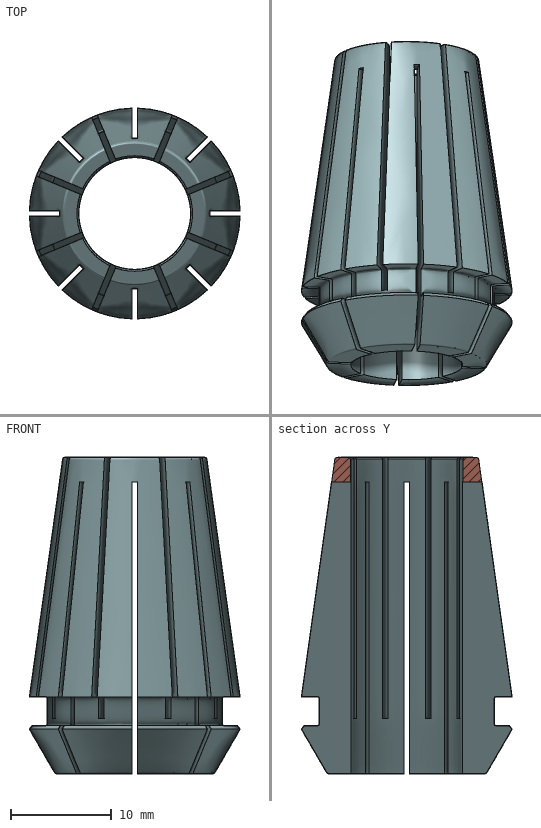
import cadquery as cq

height = 31.5
max_radius = 10.5
bore_radius = 11.12 / 2
bore_chamfer = 0.2

taper_bottom_z = 7.65
taper_top_radius = 7.15
top_edge_round = 0.28

neck_radius = 8.73
neck_fillet = 0.2

nose_top_z = 4.8
nose_rim_drop = 0.35
nose_rim_inset = 0.28
nose_bottom_radius = 7.9
nose_edge_round = 0.25

slots_per_set = 8
slot_pitch = 360 / slots_per_set
lower_slot_width = 0.55
lower_slot_top_z = 29.0
upper_slot_width = 0.6
upper_slot_bottom_z = 5.48


def make_body():
    """Revolve the bored collet profile about Z."""
    return (
        cq.Workplane("XZ")
        .moveTo(bore_radius, 0)
        .lineTo(nose_bottom_radius, 0)
        .lineTo(max_radius, nose_top_z - nose_rim_drop)
        .lineTo(max_radius - nose_rim_inset, nose_top_z)
        .lineTo(neck_radius, nose_top_z)
        .lineTo(neck_radius, taper_bottom_z)
        .lineTo(max_radius, taper_bottom_z)
        .lineTo(taper_top_radius, height)
        .lineTo(bore_radius, height)
        .close()
        .revolve(360, (0, 0, 0), (0, 1, 0))
    )


def ease_edges(body):
    """Fillet the neck corners, round both outer end edges and chamfer the top of the bore."""
    innermost = cq.selectors.RadiusNthSelector(0)
    outermost = cq.selectors.RadiusNthSelector(-1)
    neck_corners = cq.selectors.RadiusNthSelector(3)
    body = body.edges("%CIRCLE").edges(neck_corners).fillet(neck_fillet)
    body = body.faces(">Z").edges(outermost).fillet(top_edge_round)
    body = body.faces("<Z").edges(outermost).fillet(nose_edge_round)
    return body.faces(">Z").edges(innermost).chamfer(bore_chamfer)


def make_slots(width, bottom_z, top_z, first_angle):
    """Ring of thin radial cutters spanning the given heights."""
    blade = (
        cq.Workplane("XY", origin=(0, 0, bottom_z))
        .center(max_radius, 0)
        .rect(2 * max_radius, width)
        .extrude(top_z - bottom_z)
    )
    slots = cq.Workplane("XY")
    for index in range(slots_per_set):
        angle = first_angle + index * slot_pitch
        slots = slots.add(blade.rotate((0, 0, 0), (0, 0, 1), angle))
    return slots.combine()


lower_slots = make_slots(lower_slot_width, 0, lower_slot_top_z, 0)
upper_slots = make_slots(upper_slot_width, upper_slot_bottom_z, height, slot_pitch / 2)

result = ease_edges(make_body()).cut(lower_slots).cut(upper_slots)